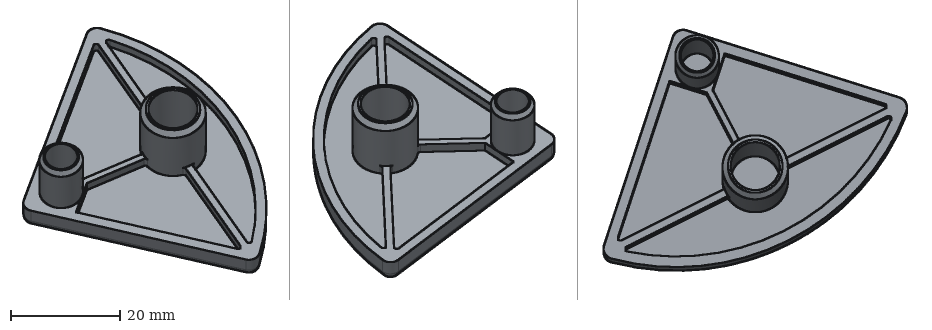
import cadquery as cq
import math

side = 44.95
plate_height = 5.0
edge_radius = 2.0
arc_radius = edge_radius + math.hypot(edge_radius, side - edge_radius)

rim = 2.0
pocket_depth = 2.0
floor_z = plate_height - pocket_depth
diagonal_rib = 1.5
spoke_rib = 1.2
pocket_radius = 0.5

total_height = 15.0
tip_height = 1.0
large_center = side / 2
large_outer = 12.0
large_tip = 10.0
large_bore = 9.0
small_outer = 8.0
small_tip = 6.5
small_bore = 6.0
small_center = rim + small_outer / 2
corner_pad = rim + small_outer


def quarter_disc(inset, radius, height):
    """Quarter disc about the origin, with its straight sides moved in by inset."""
    end = math.sqrt(radius**2 - inset**2)
    middle = radius * math.sqrt(0.5)
    return (
        cq.Workplane("XY")
        .moveTo(inset, inset)
        .lineTo(end, inset)
        .threePointArc((middle, middle), (inset, end))
        .close()
        .extrude(height)
    )


def rib(center, length, width, angle):
    """Upright bar, turned by angle, used to split the pockets."""
    return (
        cq.Workplane("XY")
        .rect(length, width)
        .extrude(plate_height)
        .rotate((0, 0, 0), (0, 0, 1), angle)
        .translate((center, center, 0))
    )


def post(center, outer, tip):
    """Round post with a tapered tip, standing on the pocket floor."""
    return (
        cq.Workplane("XY", origin=(center, center, floor_z))
        .circle(outer / 2)
        .extrude(total_height - floor_z)
        .faces(">Z")
        .chamfer(tip_height, (outer - tip) / 2)
    )


def bore(center, diameter):
    """Blind bore of a post, down to the pocket floor."""
    return (
        cq.Workplane("XY", origin=(center, center, floor_z))
        .circle(diameter / 2)
        .extrude(total_height - floor_z)
    )


plate = quarter_disc(0, arc_radius, plate_height)
plate = plate.edges("|Z").fillet(edge_radius)
plate = plate.faces("<Z").edges().fillet(edge_radius)

pad = cq.Workplane("XY").rect(corner_pad, corner_pad, centered=False).extrude(plate_height)
spoke_center = (small_center + large_center) / 2
spoke_length = math.sqrt(2) * (large_center - small_center)
large_post_base = (
    cq.Workplane("XY")
    .center(large_center, large_center)
    .circle(large_outer / 2)
    .extrude(plate_height)
)
pockets = (
    quarter_disc(rim, arc_radius - rim, plate_height)
    .cut(rib(large_center, 2 * side, diagonal_rib, -45))
    .cut(rib(spoke_center, spoke_length, spoke_rib, 45))
    .cut(pad)
    .cut(large_post_base)
)
rounding_reach = 4 * rim
for x, y in [(0, side), (side, 0), (large_center, large_center)]:
    zone = cq.selectors.BoxSelector(
        (x - rounding_reach, y - rounding_reach, 0),
        (x + rounding_reach, y + rounding_reach, plate_height),
    )
    pockets = pockets.edges("|Z").edges(zone).fillet(pocket_radius)

result = (
    plate.cut(pockets.translate((0, 0, floor_z)))
    .union(post(large_center, large_outer, large_tip))
    .union(post(small_center, small_outer, small_tip))
    .cut(bore(large_center, large_bore))
    .cut(bore(small_center, small_bore))
    .clean()
)